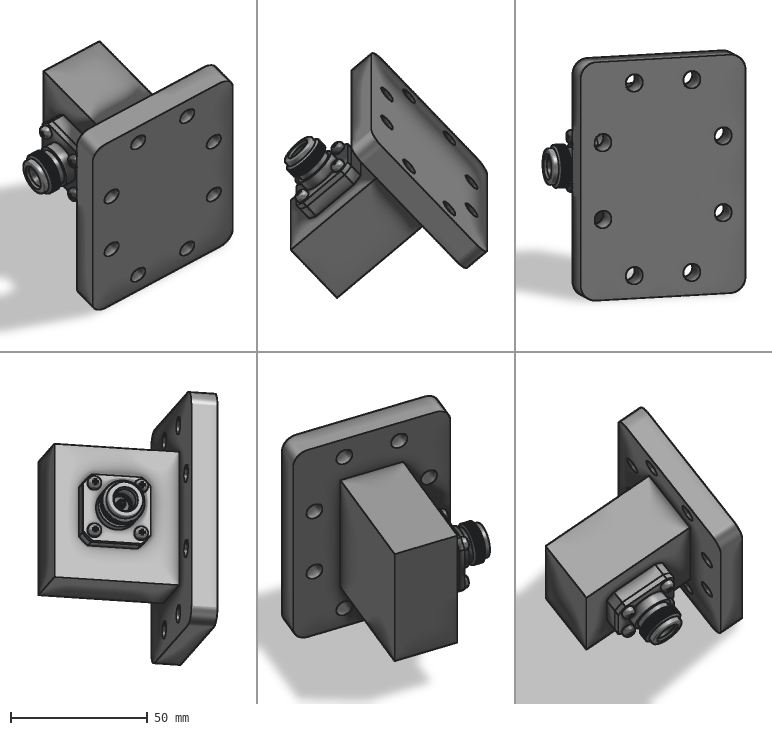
import cadquery as cq

TOTAL_LENGTH = 57.0
FLANGE_THICKNESS = 9.9
FLANGE_WIDTH = 63.7
FLANGE_HEIGHT = 88.9
FLANGE_CORNER_RADIUS = 6.0
BOLT_HOLE_DIAMETER = 6.5
END_HOLE_Y = 11.1
END_HOLE_Z = 35.9
SIDE_HOLE_Y = 23.2
SIDE_HOLE_Z = 14.3

BLOCK_LENGTH = TOTAL_LENGTH - FLANGE_THICKNESS
BLOCK_WIDTH = 25.4
BLOCK_HEIGHT = 50.9
BLOCK_FACE_Y = -BLOCK_WIDTH / 2

CONNECTOR_X = 21.9
PAD_SIDE = 25.3
PAD_CORNER_DIAMETER = 31.5
PAD_THICKNESS = 5.1
PAD_FACE_Y = BLOCK_FACE_Y - PAD_THICKNESS

CONNECTOR_LENGTH = 15.5
CONNECTOR_FLANGE_THICKNESS = 2.1
COLLAR_RADIUS = 16.0 / 2
COLLAR_END = 6.2
NECK_RADIUS = 13.5 / 2
THREAD_START = 8.4
THREAD_END = 13.3
THREAD_CREST_RADIUS = COLLAR_RADIUS
THREAD_LEAD_IN = 0.7
THREAD_RIDGES = 6
THREAD_DEPTH = 0.45
NOSE_ROUND = 0.6

SOCKET_ENTRY_RADIUS = 9.4 / 2
SOCKET_RADIUS = 8.2 / 2
SOCKET_ENTRY_DEPTH = 1.1
SOCKET_DEPTH = 7.1
INNER_SOCKET_RADIUS = 7.0 / 2
INNER_SOCKET_DEPTH = 8.9
PIN_RADIUS = 3.0 / 2
PIN_HOLE_RADIUS = 1.7 / 2
PIN_TIP_DEPTH = 5.3
PIN_HOLE_DEPTH = 2.7
PIN_TIP_CHAMFER = 0.4

SCREW_SPACING_X = 17.7
SCREW_SPACING_Z = 18.05
SCREW_BASE_RADIUS = 4.45 / 2
SCREW_RADIUS = 5.1 / 2
SCREW_TOP_RADIUS = 1.25
SCREW_RIM_START = 0.9
SCREW_RIM_END = 1.4
SCREW_HEIGHT = 2.9
SCREW_FLARE_BULGE = 0.1
SCREW_DOME_BULGE = 0.3
RECESS_LENGTH = 2.1
RECESS_WIDTH = 0.8
RECESS_DEPTH = 1.3
RECESS_TAPER = 12


def outward_plane(y):
    """Plane at the given Y on the connector axis, with its normal along -Y."""
    return cq.Plane(origin=(CONNECTOR_X, y, 0), xDir=(1, 0, 0), normal=(0, -1, 0))


def clipped_square(base_y, thickness):
    """Square plate whose corners are cut to a circle about the connector axis."""
    square = cq.Workplane(outward_plane(base_y)).rect(PAD_SIDE, PAD_SIDE).extrude(thickness)
    disc = cq.Workplane(outward_plane(base_y)).circle(PAD_CORNER_DIAMETER / 2).extrude(thickness)
    return square.intersect(disc)


def profile_plane():
    """Half-section plane of the connector: local x is radius, local y is distance from the pad."""
    return cq.Workplane(cq.Plane(origin=(CONNECTOR_X, PAD_FACE_Y, 0), xDir=(1, 0, 0), normal=(0, 0, -1)))


def revolve_profile(profile):
    """Turn a closed half-section about the connector axis."""
    return profile.close().revolve(360, (0, 0, 0), (0, 1, 0))


def make_housing():
    """Waveguide block, its bolted flange and the connector pad."""
    flange = (
        cq.Workplane("YZ", origin=(BLOCK_LENGTH, 0, 0))
        .rect(FLANGE_WIDTH, FLANGE_HEIGHT)
        .extrude(FLANGE_THICKNESS)
        .edges("|X")
        .fillet(FLANGE_CORNER_RADIUS)
    )
    hole_centres = [
        (side_y * y, side_z * z)
        for y, z in ((END_HOLE_Y, END_HOLE_Z), (SIDE_HOLE_Y, SIDE_HOLE_Z))
        for side_y in (-1, 1)
        for side_z in (-1, 1)
    ]
    bolt_holes = (
        cq.Workplane("YZ", origin=(BLOCK_LENGTH, 0, 0))
        .pushPoints(hole_centres)
        .circle(BOLT_HOLE_DIAMETER / 2)
        .extrude(FLANGE_THICKNESS)
    )
    block = cq.Workplane("YZ").rect(BLOCK_WIDTH, BLOCK_HEIGHT).extrude(BLOCK_LENGTH)
    pad = clipped_square(BLOCK_FACE_Y, PAD_THICKNESS)
    return flange.cut(bolt_holes).union(block).union(pad)


def make_barrel():
    """Turned outside of the connector: collar, neck, ring-grooved thread and nose."""
    crest_start = THREAD_START + THREAD_LEAD_IN
    crest_end = THREAD_END - THREAD_LEAD_IN
    pitch = (crest_end - crest_start) / THREAD_RIDGES
    profile = (
        profile_plane()
        .moveTo(0, 0)
        .lineTo(COLLAR_RADIUS, 0)
        .lineTo(COLLAR_RADIUS, COLLAR_END)
        .lineTo(NECK_RADIUS, COLLAR_END)
        .lineTo(NECK_RADIUS, THREAD_START)
        .lineTo(THREAD_CREST_RADIUS, crest_start)
    )
    for ridge in range(THREAD_RIDGES):
        root = crest_start + (ridge + 0.5) * pitch
        profile = (
            profile
            .lineTo(THREAD_CREST_RADIUS - THREAD_DEPTH, root)
            .lineTo(THREAD_CREST_RADIUS, root + pitch / 2)
        )
    profile = (
        profile
        .lineTo(NECK_RADIUS, THREAD_END)
        .lineTo(NECK_RADIUS, CONNECTOR_LENGTH - NOSE_ROUND)
        .radiusArc((NECK_RADIUS - NOSE_ROUND, CONNECTOR_LENGTH), -NOSE_ROUND)
        .lineTo(0, CONNECTOR_LENGTH)
    )
    return revolve_profile(profile)


def make_socket():
    """Space inside the connector around the hollow centre pin."""
    pin_tip = CONNECTOR_LENGTH - PIN_TIP_DEPTH
    profile = (
        profile_plane()
        .moveTo(0, CONNECTOR_LENGTH)
        .lineTo(SOCKET_ENTRY_RADIUS, CONNECTOR_LENGTH)
        .lineTo(SOCKET_RADIUS, CONNECTOR_LENGTH - SOCKET_ENTRY_DEPTH)
        .lineTo(SOCKET_RADIUS, CONNECTOR_LENGTH - SOCKET_DEPTH)
        .lineTo(INNER_SOCKET_RADIUS, CONNECTOR_LENGTH - SOCKET_DEPTH)
        .lineTo(INNER_SOCKET_RADIUS, CONNECTOR_LENGTH - INNER_SOCKET_DEPTH)
        .lineTo(PIN_RADIUS, CONNECTOR_LENGTH - INNER_SOCKET_DEPTH)
        .lineTo(PIN_RADIUS, pin_tip - PIN_TIP_CHAMFER)
        .lineTo(PIN_RADIUS - PIN_TIP_CHAMFER, pin_tip)
        .lineTo(PIN_HOLE_RADIUS, pin_tip)
        .lineTo(PIN_HOLE_RADIUS, pin_tip - PIN_HOLE_DEPTH)
        .lineTo(0, pin_tip - PIN_HOLE_DEPTH - PIN_HOLE_RADIUS)
    )
    return revolve_profile(profile)


def make_screw_head():
    """Domed screw head with a cross recess, standing on the flange at the connector axis."""
    base_y = PAD_FACE_Y - CONNECTOR_FLANGE_THICKNESS
    base = CONNECTOR_FLANGE_THICKNESS
    top = base + SCREW_HEIGHT
    flare_middle = (
        (SCREW_BASE_RADIUS + SCREW_RADIUS) / 2 + SCREW_FLARE_BULGE,
        base + SCREW_RIM_START / 2 - SCREW_FLARE_BULGE,
    )
    dome_middle = (
        (SCREW_RADIUS + SCREW_TOP_RADIUS) / 2 + SCREW_DOME_BULGE,
        base + (SCREW_RIM_END + SCREW_HEIGHT) / 2 + SCREW_DOME_BULGE,
    )
    head = revolve_profile(
        profile_plane()
        .moveTo(0, base)
        .lineTo(SCREW_BASE_RADIUS, base)
        .threePointArc(flare_middle, (SCREW_RADIUS, base + SCREW_RIM_START))
        .lineTo(SCREW_RADIUS, base + SCREW_RIM_END)
        .threePointArc(dome_middle, (SCREW_TOP_RADIUS, top))
        .lineTo(0, top)
    )
    recess_plane = outward_plane(base_y - SCREW_HEIGHT)
    for length_x, length_z in ((RECESS_LENGTH, RECESS_WIDTH), (RECESS_WIDTH, RECESS_LENGTH)):
        slot = cq.Workplane(recess_plane).rect(length_x, length_z).extrude(-RECESS_DEPTH, taper=RECESS_TAPER)
        head = head.cut(slot)
    return head


def make_connector():
    """Connector flange, barrel and the four screw heads that hold it."""
    connector = clipped_square(PAD_FACE_Y, CONNECTOR_FLANGE_THICKNESS)
    connector = connector.union(make_barrel()).cut(make_socket())
    screw_head = make_screw_head()
    for side_x in (-1, 1):
        for side_z in (-1, 1):
            offset = (side_x * SCREW_SPACING_X / 2, 0, side_z * SCREW_SPACING_Z / 2)
            connector = connector.union(screw_head.translate(offset))
    return connector


housing = make_housing()
connector = make_connector()
result = cq.Compound.makeCompound([housing.val(), connector.val()])